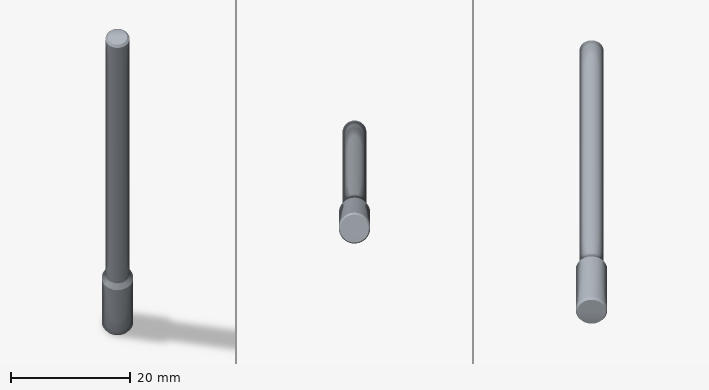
import cadquery as cq

total_length = 80.0
shank_diameter = 4.0
head_diameter = 5.3

head_length = 14.0
shoulder_height = 1.1
head_chamfer_height = 0.5
head_chamfer_width = 0.2

shank_length = total_length - head_length
shank_chamfer_height = 0.4
shank_chamfer_width = 0.4

shank_radius = shank_diameter / 2
head_radius = head_diameter / 2


def revolve_profile(points):
    """Turn a closed (radius, height) outline about the Z axis."""
    return cq.Workplane("XZ").polyline(points).close().revolve(360, (0, 0), (0, 1))


def make_head():
    """Solid head with a chamfered bottom and a conical shoulder."""
    return revolve_profile([
        (0, 0),
        (head_radius - head_chamfer_width, 0),
        (head_radius, head_chamfer_height),
        (head_radius, head_length - shoulder_height),
        (shank_radius, head_length),
        (0, head_length),
    ])


def make_shank():
    """Solid rod standing on the small end of the head's shoulder."""
    return revolve_profile([
        (0, head_length),
        (shank_radius, head_length),
        (shank_radius, head_length + shank_length - shank_chamfer_height),
        (shank_radius - shank_chamfer_width, head_length + shank_length),
        (0, head_length + shank_length),
    ])


head = make_head()
shank = make_shank()

result = cq.Compound.makeCompound([head.val(), shank.val()])